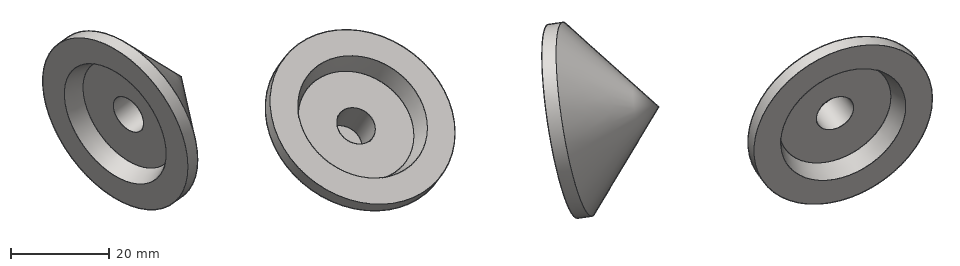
import cadquery as cq

disc_diameter = 40
total_height = 20
rim_thickness = 3.0

recess_mouth_diameter = 28
recess_floor_diameter = 25.0
recess_depth = 4

hole_diameter = 8.3
hole_depth = 8
hole_bottom = recess_depth + hole_depth


def revolve_about_y(profile):
    """Revolve a closed (radius, Y) profile fully around the Y axis."""
    return cq.Workplane("XY").polyline(profile).close().revolve(360, (0, 0, 0), (0, 1, 0))


result = revolve_about_y([
    (0, hole_bottom),
    (hole_diameter / 2, hole_bottom),
    (hole_diameter / 2, recess_depth),
    (recess_floor_diameter / 2, recess_depth),
    (recess_mouth_diameter / 2, 0),
    (disc_diameter / 2, 0),
    (disc_diameter / 2, rim_thickness),
    (0, total_height),
])